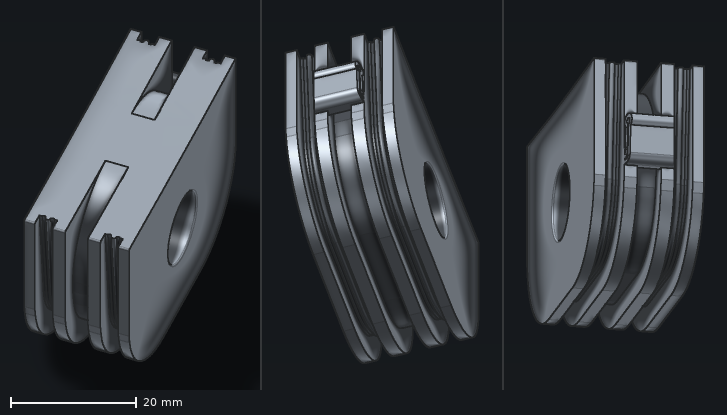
import cadquery as cq
import math

LENGTH = 46.25
HEIGHT = 33.9
HALF_LENGTH = LENGTH / 2
TOP_SAG = 0.3
EDGE_ROUND = 0.25

OUTER_CHEEK = 1.85
ROPE_GROOVE = 3.05
INNER_CHEEK = 2.15
CENTER_SLOT = 3.9
INNER_PAIR = CENTER_SLOT + 2 * INNER_CHEEK
THICKNESS = INNER_PAIR + 2 * (ROPE_GROOVE + OUTER_CHEEK)
ROPE_GROOVE_X = (INNER_PAIR + ROPE_GROOVE) / 2

LEAN = math.radians(9)
CORNER_RADIUS = 14.85
CORNER_CENTER_Y = 8.2

HOLE_DIAMETER = 12.3
HOLE_Z = 17.05

FLOOR_Z = 3.57
FLOOR_RADIUS = 12.45
FLOOR_CENTER_Y = 7.0
SLOT_FLOOR_HALF = 19.8
SLOT_TOP_HALF = 5.7
ROPE_FLOOR_TOP_HALF = 21.15

RIDGE_RADIUS = 0.45
HOLLOW_WIDTH = 0.6
HOLLOW_DEPTH = 0.2

CLEARANCE = 2.45

STRAIGHT_DOWN = math.pi / 2
DIAGONAL = math.sqrt(0.5)

CLIP_REACH = 2.75
EYE_RADIUS = 1.2
SHEET = 0.75
SHEET_GAP = 0.2
EYE_Y = HALF_LENGTH + CLIP_REACH - EYE_RADIUS
EYE_Z = 23.15
LEG_SHIFT = 0.3
CLIP_TIP_HALF_WIDTH = 3.5
CLIP_BEND_RADIUS = 1.55

PLATE_BOTTOM = 16.2
PLATE_HEIGHT = 2.85
PLATE_DEPTH = 1.15
PLATE_PROUD = 0.25
PLATE_LIP = 0.35
PLATE_LIP_HEIGHT = 0.4


def extrude_x(outline, width):
    """Extrude a YZ outline symmetrically about X = 0."""
    return outline.extrude(width / 2, both=True)


def arc_point(center_y, center_z, radius, angle):
    """Point on a +Y lower corner arc, with the angle measured down from horizontal."""
    return (center_y + radius * math.cos(angle), center_z - radius * math.sin(angle))


def lower_corner(half_width, center_y, radius, bottom):
    """Points of a +Y lower corner: flank top, arc start, arc middle and arc end."""
    center_z = bottom + radius
    start = arc_point(center_y, center_z, radius, LEAN)
    middle = arc_point(center_y, center_z, radius, (LEAN + STRAIGHT_DOWN) / 2)
    end = arc_point(center_y, center_z, radius, STRAIGHT_DOWN)
    flank_top = (half_width, start[1] + (half_width - start[0]) / math.tan(LEAN))
    return flank_top, start, middle, end


def mirrored(point):
    return (-point[0], point[1])


def lower_outline(top_point, corner):
    """Open outline from the +Y top, down and around the bottom to the -Y top."""
    flank_top, start, middle, end = corner
    return (
        cq.Workplane("YZ")
        .moveTo(*top_point)
        .lineTo(*flank_top)
        .lineTo(*start)
        .threePointArc(middle, end)
        .lineTo(*mirrored(end))
        .threePointArc(mirrored(middle), mirrored(start))
        .lineTo(*mirrored(flank_top))
        .lineTo(*mirrored(top_point))
    )


def make_block():
    corner = lower_corner(HALF_LENGTH, CORNER_CENTER_Y, CORNER_RADIUS, 0)
    outline = (
        lower_outline((HALF_LENGTH, HEIGHT), corner)
        .threePointArc((0, HEIGHT - TOP_SAG), (HALF_LENGTH, HEIGHT))
        .close()
    )
    block = extrude_x(outline, THICKNESS)
    top_end_edges = cq.selectors.BoxSelector(
        (-THICKNESS, -LENGTH, HEIGHT - TOP_SAG / 2),
        (THICKNESS, LENGTH, HEIGHT + TOP_SAG),
    )
    return block.edges("|X").edges(top_end_edges).fillet(EDGE_ROUND)


def make_hole():
    """Through hole cutter that leaves both rims rounded."""
    radius = HOLE_DIAMETER / 2
    rim = radius + EDGE_ROUND
    face_x = THICKNESS / 2
    inner_x = face_x - EDGE_ROUND
    bulge = EDGE_ROUND * DIAGONAL
    section = (
        cq.Workplane("XY")
        .moveTo(-face_x, 0)
        .lineTo(-face_x, rim)
        .threePointArc((-inner_x - bulge, rim - bulge), (-inner_x, radius))
        .lineTo(inner_x, radius)
        .threePointArc((inner_x + bulge, rim - bulge), (face_x, rim))
        .lineTo(face_x, 0)
        .close()
    )
    return section.revolve(360, (0, 0, 0), (1, 0, 0)).translate((0, 0, HOLE_Z))


def make_center_slot():
    """Slot around the ends and bottom; its floor curls inward to meet the top."""
    corner = lower_corner(SLOT_FLOOR_HALF, FLOOR_CENTER_Y, FLOOR_RADIUS, FLOOR_Z)
    curl_radius = SLOT_FLOOR_HALF - SLOT_TOP_HALF
    curl_top = HEIGHT - TOP_SAG
    curl_center_z = curl_top - curl_radius
    curl_diagonal = curl_radius * DIAGONAL
    curl_middle = (SLOT_TOP_HALF + curl_diagonal, curl_center_z + curl_diagonal)
    curl_end = (SLOT_TOP_HALF, curl_top)
    above_curl = (SLOT_TOP_HALF, HEIGHT + CLEARANCE)
    core_outline = (
        lower_outline((SLOT_FLOOR_HALF, curl_center_z), corner)
        .threePointArc(mirrored(curl_middle), mirrored(curl_end))
        .lineTo(*mirrored(above_curl))
        .lineTo(*above_curl)
        .lineTo(*curl_end)
        .threePointArc(curl_middle, (SLOT_FLOOR_HALF, curl_center_z))
        .close()
    )
    core = extrude_x(core_outline, CENTER_SLOT)
    surround = cq.Workplane("XY").box(CENTER_SLOT, LENGTH + CLEARANCE, 2 * HEIGHT + CLEARANCE)
    return surround.cut(core)


def make_rope_groove():
    """Sweep the groove section down one end, under the block and up the other end."""
    center_z = FLOOR_Z + FLOOR_RADIUS
    rise = HEIGHT - center_z
    run = ROPE_FLOOR_TOP_HALF - FLOOR_CENTER_Y
    touch = math.acos(FLOOR_RADIUS / math.hypot(run, rise)) - math.atan2(rise, run)

    start = (
        ROPE_FLOOR_TOP_HALF + CLEARANCE * math.sin(touch),
        HEIGHT + CLEARANCE * math.cos(touch),
    )
    tangent = arc_point(FLOOR_CENTER_Y, center_z, FLOOR_RADIUS, touch)
    middle = arc_point(FLOOR_CENTER_Y, center_z, FLOOR_RADIUS, (touch + STRAIGHT_DOWN) / 2)
    end = arc_point(FLOOR_CENTER_Y, center_z, FLOOR_RADIUS, STRAIGHT_DOWN)
    path = (
        cq.Workplane("YZ")
        .moveTo(*start)
        .lineTo(*tangent)
        .threePointArc(middle, end)
        .lineTo(*mirrored(end))
        .threePointArc(mirrored(middle), mirrored(tangent))
        .lineTo(*mirrored(start))
    )

    wall = ROPE_GROOVE / 2
    mouth = FLOOR_Z + CLEARANCE
    hollow_end = RIDGE_RADIUS + HOLLOW_WIDTH
    hollow_middle = RIDGE_RADIUS + HOLLOW_WIDTH / 2
    section_plane = cq.Plane(
        origin=(0, *start),
        xDir=(-1, 0, 0),
        normal=(0, -math.sin(touch), -math.cos(touch)),
    )
    section = (
        cq.Workplane(section_plane)
        .moveTo(-wall, mouth)
        .lineTo(-wall, 0)
        .lineTo(-hollow_end, 0)
        .threePointArc((-hollow_middle, -HOLLOW_DEPTH), (-RIDGE_RADIUS, 0))
        .threePointArc((0, RIDGE_RADIUS), (RIDGE_RADIUS, 0))
        .threePointArc((hollow_middle, -HOLLOW_DEPTH), (hollow_end, 0))
        .lineTo(wall, 0)
        .lineTo(wall, mouth)
        .close()
    )
    return section.sweep(path)


def make_clip():
    plate_face = HALF_LENGTH + PLATE_PROUD
    plate_top = PLATE_BOTTOM + PLATE_HEIGHT
    half_leg = SHEET + SHEET_GAP / 2
    foot_y = EYE_Y - LEG_SHIFT
    foot_top = PLATE_BOTTOM + 2 * half_leg

    eye = extrude_x(cq.Workplane("YZ").center(EYE_Y, EYE_Z).circle(EYE_RADIUS), INNER_PAIR)
    leg_outline = (
        cq.Workplane("YZ")
        .moveTo(EYE_Y + half_leg, EYE_Z)
        .lineTo(foot_y + half_leg, PLATE_BOTTOM)
        .lineTo(plate_face, PLATE_BOTTOM)
        .lineTo(plate_face, foot_top)
        .lineTo(foot_y - half_leg, foot_top)
        .lineTo(EYE_Y - half_leg, EYE_Z)
        .close()
    )
    leg = extrude_x(leg_outline, INNER_PAIR)
    bend_corner = cq.selectors.NearestToPointSelector((0, foot_y + half_leg, PLATE_BOTTOM))
    leg = leg.edges("|X").edges(bend_corner).fillet(CLIP_BEND_RADIUS)

    eye_hole = extrude_x(
        cq.Workplane("YZ").center(EYE_Y, EYE_Z).circle(EYE_RADIUS - SHEET), INNER_PAIR
    )
    gap_z = PLATE_BOTTOM + half_leg
    gap_outline = (
        cq.Workplane("YZ")
        .moveTo(EYE_Y, EYE_Z)
        .lineTo(foot_y, gap_z + half_leg / 2)
        .lineTo(foot_y - half_leg / 2, gap_z)
        .lineTo(plate_face, gap_z)
        .offset2D(SHEET_GAP / 2)
    )
    gap = extrude_x(gap_outline, INNER_PAIR)

    plate_y = plate_face - PLATE_DEPTH / 2
    plate_z = PLATE_BOTTOM + PLATE_HEIGHT / 2
    plate = (
        cq.Workplane("XY")
        .box(INNER_PAIR, PLATE_DEPTH, PLATE_HEIGHT)
        .translate((0, plate_y, plate_z))
    )
    lip = (
        cq.Workplane("XY")
        .box(INNER_PAIR, PLATE_LIP, PLATE_LIP_HEIGHT)
        .translate((0, plate_face + PLATE_LIP / 2, plate_top - PLATE_LIP_HEIGHT / 2))
    )
    folded = eye.union(leg).cut(eye_hole).cut(gap).union(lip).union(plate)

    tip_y = HALF_LENGTH + CLIP_REACH
    back_y = plate_face - PLATE_DEPTH
    taper = (
        cq.Workplane("XY")
        .polyline(
            [
                (-INNER_PAIR / 2, back_y),
                (INNER_PAIR / 2, back_y),
                (INNER_PAIR / 2, plate_face),
                (CLIP_TIP_HALF_WIDTH, tip_y),
                (-CLIP_TIP_HALF_WIDTH, tip_y),
                (-INNER_PAIR / 2, plate_face),
            ]
        )
        .close()
        .extrude(HEIGHT)
    )
    return folded.intersect(taper)


rope_groove = make_rope_groove()
result = make_block().cut(make_hole()).cut(make_center_slot())
for side in (-1, 1):
    result = result.cut(rope_groove.translate((side * ROPE_GROOVE_X, 0, 0)))
result = result.union(make_clip())